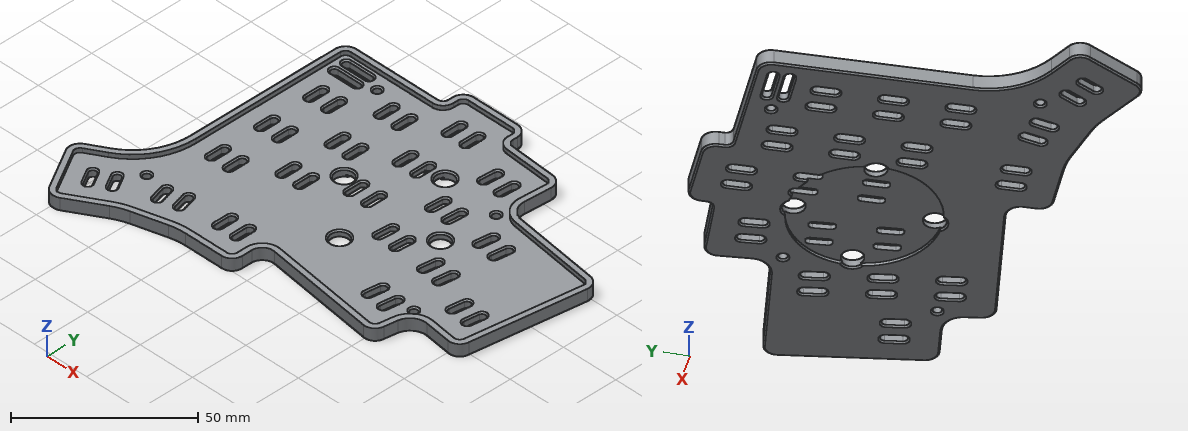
import cadquery as cq
import math

plate_height = 4.7
rim_width = 2.0
rim_depth = 1.5
edge_chamfer = 0.5
floor_height = plate_height - rim_depth

corner_radius = 4.0
notch_radius = 2.0
inside_radius = 4.0
inside_radius_large = 5.7
sweep_radius = 22.1

slot_width = 2.5
key_slot_length = 7.5
key_slot_spacing = 6.8
switch_slot_length = 11.2
switch_slot_spacing = 4.5
screw_diameter = 2.5
post_diameter = 6.4

mount_center = (7.5, 7.1)
mount_recess_diameter = 42.5
mount_recess_depth = 1.0
post_count = 4
post_circle_radius = 19.1
post_turn = -2

key_pitch = 18.4
column_rows = 3
ring_tilt = -4
little_tilt = -8
thumb_tilt = 15

column_starts = [
    (-39.0, -9.2, 0),
    (-20.5, -1.0, 0),
    (-2.1, 6.4, 0),
    (17.0, -1.5, ring_tilt),
    (33.4, -21.8, little_tilt),
]

single_keys = [
    (54.0, -10.6, little_tilt),
    (-16.3, -28.9, 0),
    (-36.8, -31.5, thumb_tilt),
    (-55.8, -39.3, 2 * thumb_tilt),
]

switch_center = (-42.0, 40.5)
screw_centers = [(-32.3, 40.5), (29.0, 24.9), (43.5, -20.1), (-48.8, -29.6)]

outline_corners = [
    (-51.5, 47.5, corner_radius),
    (-14.5, 47.5, notch_radius),
    (-14.5, 55.2, corner_radius),
    (10.2, 55.2, corner_radius),
    (10.2, 47.7, notch_radius),
    (32.5, 46.1, corner_radius),
    (31.3, 27.6, inside_radius_large),
    (71.2, 22.1, corner_radius),
    (64.5, -24.8, corner_radius),
    (45.9, -22.2, inside_radius_large),
    (43.7, -36.1, corner_radius),
    (-4.2, -29.5, inside_radius),
    (-4.2, -41.5, corner_radius),
    (-24.9, -41.5, sweep_radius),
    (-42.2, -46.1, sweep_radius),
    (-60.0, -56.6, corner_radius),
    (-72.3, -35.4, corner_radius),
    (-51.5, -23.4, sweep_radius),
]


def corner_arc(before, corner, after):
    """Start, middle and end of the arc that rounds a corner, tangent to both of its sides."""
    x, y, radius = corner
    tip = cq.Vector(x, y)
    toward_before = (cq.Vector(*before[:2]) - tip).normalized()
    toward_after = (cq.Vector(*after[:2]) - tip).normalized()
    half_angle = toward_before.getAngle(toward_after) / 2
    tangent_length = radius / math.tan(half_angle)
    middle_distance = radius / math.sin(half_angle) - radius
    bisector = (toward_before + toward_after).normalized()
    return (
        tip + toward_before * tangent_length,
        tip + bisector * middle_distance,
        tip + toward_after * tangent_length,
    )


def rounded_outline(corners):
    """Closed wire through the corners, each one rounded by its own radius."""
    count = len(corners)
    arcs = [corner_arc(corners[i - 1], corners[i], corners[(i + 1) % count]) for i in range(count)]
    edges = []
    for i, (start, middle, end) in enumerate(arcs):
        edges.append(cq.Edge.makeThreePointArc(start, middle, end))
        edges.append(cq.Edge.makeLine(end, arcs[(i + 1) % count][0]))
    return cq.Wire.assembleEdges(edges)


def tray():
    """Solid plate with a chamfered underside and a shallow pocket inside the rim."""
    outline = rounded_outline(outline_corners)
    body = cq.Workplane("XY").add(outline).toPending().extrude(plate_height)
    body = body.faces("<Z").edges().chamfer(edge_chamfer)
    pocket_outline = outline.offset2D(-rim_width)[0].translate(cq.Vector(0, 0, floor_height))
    pocket = cq.Workplane("XY").add(pocket_outline).toPending().extrude(rim_depth)
    return body.cut(pocket)


def mount_recess():
    """Shallow disk cut into the underside at the mount."""
    disk = cq.Workplane("XY").center(*mount_center).circle(mount_recess_diameter / 2)
    return disk.extrude(mount_recess_depth)


def chamfered_cutter(sketch):
    """Cutter through the floor, flared at both surfaces; sketch adds the opening to a workplane."""
    straight = sketch(cq.Workplane("XY")).extrude(floor_height)
    lower_flare = sketch(cq.Workplane("XY"), edge_chamfer).extrude(edge_chamfer, taper=45)
    upper_flare = lower_flare.mirror("XY").translate((0, 0, floor_height))
    return straight.union(lower_flare).union(upper_flare)


def round_cutter(diameter):
    """Round hole centered on the origin."""
    return chamfered_cutter(lambda plane, margin=0: plane.circle(diameter / 2 + margin))


def slot_pair(length, spacing):
    """Two slots along X, one on each side of the X axis."""
    slot_centers = [(0, spacing / 2), (0, -spacing / 2)]
    return chamfered_cutter(
        lambda plane, margin=0: plane.pushPoints(slot_centers).slot2D(
            length + 2 * margin, slot_width + 2 * margin
        )
    )


def key_positions():
    """Center and tilt of every key; each column climbs along its own tilted axis."""
    positions = list(single_keys)
    for x, y, tilt in column_starts:
        angle = math.radians(tilt)
        for row in range(column_rows):
            climb = row * key_pitch
            positions.append((x - climb * math.sin(angle), y + climb * math.cos(angle), tilt))
    return positions


def post_centers():
    """Centers of the mount's post holes."""
    centers = []
    for i in range(post_count):
        angle = math.radians(post_turn + i * 360 / post_count)
        x = mount_center[0] + post_circle_radius * math.cos(angle)
        y = mount_center[1] + post_circle_radius * math.sin(angle)
        centers.append((x, y))
    return centers


cutters = [slot_pair(switch_slot_length, switch_slot_spacing).translate(switch_center + (0,))]

key_slots = slot_pair(key_slot_length, key_slot_spacing)
for key_x, key_y, key_tilt in key_positions():
    turned = key_slots.rotate((0, 0, 0), (0, 0, 1), 90 + key_tilt)
    cutters.append(turned.translate((key_x, key_y, 0)))

for diameter, centers in [(screw_diameter, screw_centers), (post_diameter, post_centers())]:
    hole = round_cutter(diameter)
    cutters.extend(hole.translate((hole_x, hole_y, 0)) for hole_x, hole_y in centers)

all_openings = cq.Compound.makeCompound([shape for cutter in cutters for shape in cutter.vals()])
result = tray().cut(cq.Workplane(all_openings)).cut(mount_recess()).solids()